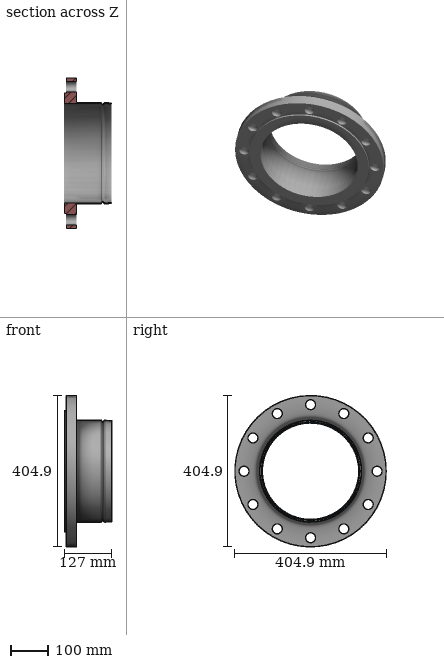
import cadquery as cq
import math

flange_diameter = 404.88
flange_back_x = 33.0
rim_chamfer_length = 1.2
rim_chamfer_depth = 0.8
raised_face_diameter = 323.85
raised_face_height = 4.8

bolt_count = 12
bolt_hole_diameter = 25.91
bolt_circle_diameter = 355.6

total_length = 127.0
pipe_diameter = 273.05
bore_diameter = 264.67

groove_start_x = 97.9
groove_diameter = 265.18
groove_wall_angle = math.radians(52)
groove_edge_radius = 2.0
groove_floor_radius = 1.6
outer_lip_start_x = 109.2
inner_lip_start_x = 111.2
lip_radius_drop = 1.5

bore_radius = bore_diameter / 2
pipe_radius = pipe_diameter / 2
groove_depth = (pipe_diameter - groove_diameter) / 2


def disc(diameter, start_x, end_x):
    """Solid cylinder on the X axis."""
    return cq.Workplane("YZ").workplane(offset=start_x).circle(diameter / 2).extrude(end_x - start_x)


def arc_offset(radius, angle):
    """Axial and radial distance from an arc's level end to the point where it has turned by angle."""
    return radius * math.sin(angle), radius * (1 - math.cos(angle))


def rolled_body(radius, lip_start_x):
    """Solid of revolution shaped like the rolled pipe at the given radius, tapering from lip_start_x."""
    edge_mid = arc_offset(groove_edge_radius, groove_wall_angle / 2)
    edge_end = arc_offset(groove_edge_radius, groove_wall_angle)
    floor_end = arc_offset(groove_floor_radius, groove_wall_angle)

    wall_depth = groove_depth - edge_end[1] - floor_end[1]
    wall_run = wall_depth / math.tan(groove_wall_angle)
    floor_x = groove_start_x + edge_end[0] + wall_run + floor_end[0]
    floor_radius = radius - groove_depth

    shoulder_run = lip_start_x - floor_x
    shoulder_angle = 2 * math.atan(groove_depth / shoulder_run)
    shoulder_radius = shoulder_run / math.sin(shoulder_angle) - groove_floor_radius
    shoulder_mid = arc_offset(shoulder_radius, shoulder_angle / 2)
    floor_far_end = arc_offset(groove_floor_radius, shoulder_angle)

    return (
        cq.Workplane("XY")
        .lineTo(0, radius)
        .lineTo(groove_start_x, radius)
        .threePointArc(
            (groove_start_x + edge_mid[0], radius - edge_mid[1]),
            (groove_start_x + edge_end[0], radius - edge_end[1]),
        )
        .lineTo(floor_x - floor_end[0], floor_radius + floor_end[1])
        .threePointArc(
            (floor_x, floor_radius),
            (floor_x + floor_far_end[0], floor_radius + floor_far_end[1]),
        )
        .threePointArc(
            (lip_start_x - shoulder_mid[0], radius - shoulder_mid[1]),
            (lip_start_x, radius),
        )
        .lineTo(total_length, radius - lip_radius_drop)
        .lineTo(total_length, 0)
        .close()
        .revolve(360, (0, 0, 0), (1, 0, 0))
    )


def make_flange():
    """Flange plate with a chamfered front rim and a raised sealing face."""
    plate = disc(flange_diameter, raised_face_height, flange_back_x)
    plate = plate.faces("<X").chamfer(rim_chamfer_length, rim_chamfer_depth)
    raised_face = disc(raised_face_diameter, 0, flange_back_x)
    return plate.union(raised_face)


def make_bolt_holes():
    """Ring of cylinders that cut the bolt holes through the flange."""
    return (
        cq.Workplane("YZ")
        .polarArray(bolt_circle_diameter / 2, 0, 360, bolt_count)
        .circle(bolt_hole_diameter / 2)
        .extrude(flange_back_x)
    )


body = make_flange().union(rolled_body(pipe_radius, outer_lip_start_x))
bore = rolled_body(bore_radius, inner_lip_start_x)
result = body.cut(bore).cut(make_bolt_holes())